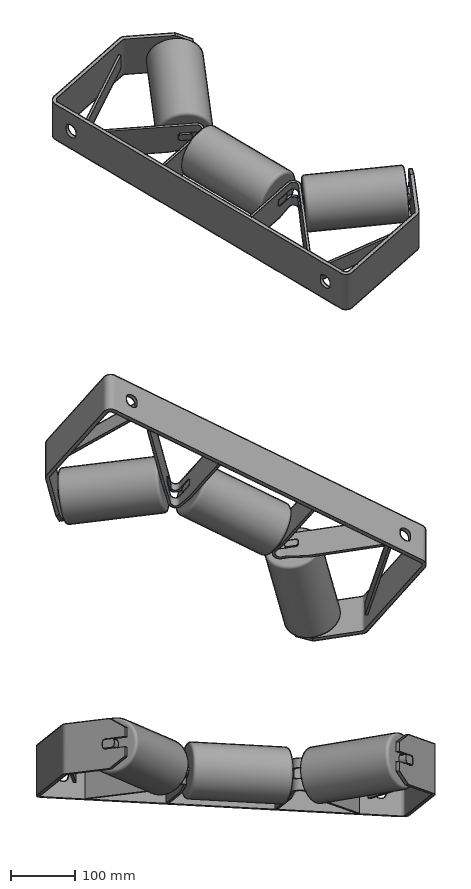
import cadquery as cq
import math

TROUGH_ANGLE = 45.0
DIAGONAL = math.sqrt(0.5)

FRAME_LENGTH = 600.0
FRAME_HEIGHT = 80.0
FRAME_THICKNESS = 6.0
FRAME_BEND_RADIUS = 12.5
ARM_LENGTH = 178.0
TIP_RISE = 79.0
TIP_CHAMFER_LENGTH = 28.0
TIP_CHAMFER_HEIGHT = 17.0
MOUNT_SLOT_SPACING = 512.0
MOUNT_SLOT_WIDTH = 19.0
MOUNT_SLOT_HEIGHT = 27.0

ROLLER_DIAMETER = 89.5
ROLLER_LENGTH = 160.0
ROLLER_FILLET = 5.0
SHAFT_DIAMETER = 22.0
SIDE_SHAFT_LENGTH = 182.5
SIDE_SHAFT_OFFSET = 2.0
SHAFT_FLAT_WIDTH = 14.0
SHAFT_NECK = 2.5
CENTER_SHAFT_LENGTH = 179.0
CENTER_ROLLER_Y = 99.0
CENTER_ROLLER_Z = -6.0
SIDE_ROLLER_X = 177.0
SIDE_ROLLER_Y = 171.0
SIDE_ROLLER_Z = -3.5
SIDE_ROLLER_TILT = 2.3

SLOT_WIDTH = 16.0
SLOT_CORNER_RADIUS = 5.5
SLOT_REACH = 72.0
SLOT_CUT_DEPTH = 24.0

SHEET_THICKNESS = 4.0
BRACKET_FACE_X = 86.0
BRACKET_BEND_RADIUS = 12.0
BRACKET_BEND_Y = 115.0
BRACKET_TOP = 17.5
BRACKET_RELIEF_HEIGHT = 6.0
BRACKET_RELIEF_RUN = 24.0
BRACE_TOP_Y = 164.0
BRACE_FOOT_X = 239.0
BRACE_HEIGHT = 30.0

HALF_LENGTH = FRAME_LENGTH / 2
FRAME_BOTTOM = -FRAME_HEIGHT / 2
SIDE_TILT_SLOPE = math.tan(math.radians(SIDE_ROLLER_TILT))


def mirrored(body):
    return body.mirror("YZ")


def shaft_slot(x, y, z, open_angle):
    """Cutter for an open slot that seats a shaft at (x, y, z) and opens at a plan angle."""
    length = SLOT_REACH + SHAFT_DIAMETER / 2
    cutter = (
        cq.Workplane("XY")
        .box(length, SLOT_CUT_DEPTH, SLOT_WIDTH)
        .edges("|Y and <X")
        .fillet(SLOT_CORNER_RADIUS)
        .translate((length / 2 - SHAFT_DIAMETER / 2, 0, 0))
    )
    return cutter.rotate((0, 0, 0), (0, 0, 1), open_angle).translate((x, y, z))


def left_axis_point(plan_run):
    """Point on the left side roller's axis, plan_run outward from the roller's middle."""
    return (
        -SIDE_ROLLER_X - plan_run * DIAGONAL,
        SIDE_ROLLER_Y + plan_run * DIAGONAL,
        SIDE_ROLLER_Z + plan_run * SIDE_TILT_SLOPE,
    )


def left_outer_shaft_point():
    """Point on the left side roller's axis in the middle of the frame tip's thickness."""
    face = ARM_LENGTH + HALF_LENGTH
    plan_run = (face - SIDE_ROLLER_X - SIDE_ROLLER_Y) * DIAGONAL - FRAME_THICKNESS / 2
    return left_axis_point(plan_run)


def frame_outline(inset):
    """Corners of the strap from the right tip to the left tip, inset from its outer face."""
    side = HALF_LENGTH - inset
    fold_y = ARM_LENGTH - inset * math.tan(math.radians(TROUGH_ANGLE / 2))
    tip_x = HALF_LENGTH - TIP_RISE - inset * DIAGONAL
    tip_y = ARM_LENGTH + TIP_RISE - inset * DIAGONAL
    return [
        (tip_x, tip_y),
        (side, fold_y),
        (side, inset),
        (-side, inset),
        (-side, fold_y),
        (-tip_x, tip_y),
    ]


def tip_chamfers():
    """Prisms that take the top and bottom corners off the left frame tip."""
    tip_plane = cq.Plane(
        origin=(-HALF_LENGTH + TIP_RISE, ARM_LENGTH + TIP_RISE, 0),
        xDir=(-1, -1, 0),
        normal=(1, -1, 0),
    )
    half = FRAME_HEIGHT / 2
    cutter = cq.Workplane(tip_plane)
    for side in (1, -1):
        cutter = cutter.polyline(
            [(0, side * half), (TIP_CHAMFER_LENGTH, side * half), (0, side * (half - TIP_CHAMFER_HEIGHT))]
        ).close()
    return cutter.extrude(FRAME_THICKNESS * 2, both=True)


def make_frame():
    outline = frame_outline(0) + frame_outline(FRAME_THICKNESS)[::-1]
    strap = cq.Workplane("XY").workplane(offset=FRAME_BOTTOM).polyline(outline).close().extrude(FRAME_HEIGHT)
    for inset in (0, FRAME_THICKNESS):
        radius = FRAME_BEND_RADIUS - inset
        for x, y in frame_outline(inset)[1:-1]:
            strap = strap.edges(cq.selectors.NearestToPointSelector((x, y, 0))).fillet(radius)
    tip_slot = shaft_slot(*left_outer_shaft_point(), TROUGH_ANGLE)
    for cutter in (tip_chamfers(), tip_slot):
        strap = strap.cut(cutter).cut(mirrored(cutter))
    mount_slots = (
        cq.Workplane("XZ")
        .pushPoints([(-MOUNT_SLOT_SPACING / 2, 0), (MOUNT_SLOT_SPACING / 2, 0)])
        .slot2D(MOUNT_SLOT_HEIGHT, MOUNT_SLOT_WIDTH, 90)
        .extrude(-2 * FRAME_THICKNESS)
    )
    return strap.cut(mount_slots)


def centered_cylinder(diameter, length):
    """Cylinder along X, centered on the origin."""
    return cq.Workplane("YZ").workplane(offset=-length / 2).circle(diameter / 2).extrude(length)


def make_roller(shaft_length, shaft_offset=0):
    """Roller along X, centered on the origin; the shaft flats face up and down.

    A positive shaft_offset shifts the flatted shaft toward -X.
    """
    barrel = centered_cylinder(ROLLER_DIAMETER, ROLLER_LENGTH).edges("%CIRCLE").fillet(ROLLER_FILLET)
    neck = centered_cylinder(SHAFT_DIAMETER, ROLLER_LENGTH + 2 * SHAFT_NECK)
    flats = cq.Workplane("XY").box(shaft_length, SHAFT_DIAMETER, SHAFT_FLAT_WIDTH)
    shaft = centered_cylinder(SHAFT_DIAMETER, shaft_length).intersect(flats)
    return barrel.union(neck).union(shaft.translate((-shaft_offset, 0, 0)))


def make_center_roller():
    return make_roller(CENTER_SHAFT_LENGTH).translate((0, CENTER_ROLLER_Y, CENTER_ROLLER_Z))


def make_left_roller():
    roller = make_roller(SIDE_SHAFT_LENGTH, SIDE_SHAFT_OFFSET)
    roller = roller.rotate((0, 0, 0), (0, 1, 0), SIDE_ROLLER_TILT)
    roller = roller.rotate((0, 0, 0), (0, 0, 1), -TROUGH_ANGLE)
    return roller.translate((-SIDE_ROLLER_X, SIDE_ROLLER_Y, SIDE_ROLLER_Z))


def make_left_bracket():
    """Sheet with a straight leg along Y, a bend and a sloping leg back to the frame."""
    bend_x = -BRACKET_FACE_X - BRACKET_BEND_RADIUS
    inner = BRACKET_BEND_RADIUS - SHEET_THICKNESS
    outer = BRACKET_BEND_RADIUS

    def on_bend(radius, angle):
        return (
            bend_x + radius * math.cos(math.radians(angle)),
            BRACKET_BEND_Y + radius * math.sin(math.radians(angle)),
        )

    slope_angle = 180 - TROUGH_ANGLE
    outer_end = on_bend(outer, slope_angle)
    inner_end = on_bend(inner, slope_angle)
    leg_drop = inner_end[1] - FRAME_THICKNESS
    foot_inner = (inner_end[0] - leg_drop, FRAME_THICKNESS)
    foot_outer = (outer_end[0] - leg_drop, outer_end[1] - leg_drop)
    sheet = (
        cq.Workplane("XY")
        .workplane(offset=FRAME_BOTTOM)
        .moveTo(-BRACKET_FACE_X, FRAME_THICKNESS)
        .lineTo(*on_bend(outer, 0))
        .threePointArc(on_bend(outer, slope_angle / 2), outer_end)
        .lineTo(*foot_outer)
        .lineTo(*foot_inner)
        .lineTo(*inner_end)
        .threePointArc(on_bend(inner, slope_angle / 2), on_bend(inner, 0))
        .lineTo(-BRACKET_FACE_X - SHEET_THICKNESS, FRAME_THICKNESS)
        .close()
        .extrude(BRACKET_TOP - FRAME_BOTTOM)
    )
    relief_top = FRAME_BOTTOM + BRACKET_RELIEF_HEIGHT
    bracket_top_y = BRACKET_BEND_Y + BRACKET_BEND_RADIUS
    relief = (
        cq.Workplane("YZ")
        .polyline(
            [
                (BRACKET_BEND_Y - BRACKET_RELIEF_RUN, FRAME_BOTTOM),
                (BRACKET_BEND_Y, relief_top),
                (bracket_top_y, relief_top),
                (bracket_top_y, FRAME_BOTTOM),
            ]
        )
        .close()
        .extrude(-HALF_LENGTH)
    )
    center_slot = shaft_slot(-BRACKET_FACE_X - SHEET_THICKNESS / 2, CENTER_ROLLER_Y, CENTER_ROLLER_Z, 90)
    face = outer_end[1] - outer_end[0]
    plan_run = (SIDE_ROLLER_X + SIDE_ROLLER_Y - face) * DIAGONAL + SHEET_THICKNESS / 2
    side_slot = shaft_slot(*left_axis_point(-plan_run), TROUGH_ANGLE)
    return sheet.cut(relief).cut(center_slot).cut(side_slot)


def make_left_brace():
    """Flat bar across the rear corner, square-cut, touching the arm and the back strap."""
    top = (-HALF_LENGTH + FRAME_THICKNESS, BRACE_TOP_Y)
    foot = (-BRACE_FOOT_X, FRAME_THICKNESS)
    length = math.hypot(foot[0] - top[0], foot[1] - top[1])
    angle = math.degrees(math.atan2(top[1] - foot[1], top[0] - foot[0]))
    return (
        cq.Workplane("XY")
        .box(length, SHEET_THICKNESS, BRACE_HEIGHT, centered=(False, False, True))
        .translate((0, -SHEET_THICKNESS, 0))
        .rotate((0, 0, 0), (0, 0, 1), angle)
        .translate((foot[0], foot[1], 0))
    )


frame = make_frame()
center_roller = make_center_roller()
left_roller = make_left_roller()
left_bracket = make_left_bracket()
left_brace = make_left_brace()

bodies = [frame.val(), center_roller.val()]
for left_body in (left_roller, left_bracket, left_brace):
    bodies.append(left_body.val())
    bodies.append(mirrored(left_body).val())

result = cq.Compound.makeCompound(bodies)